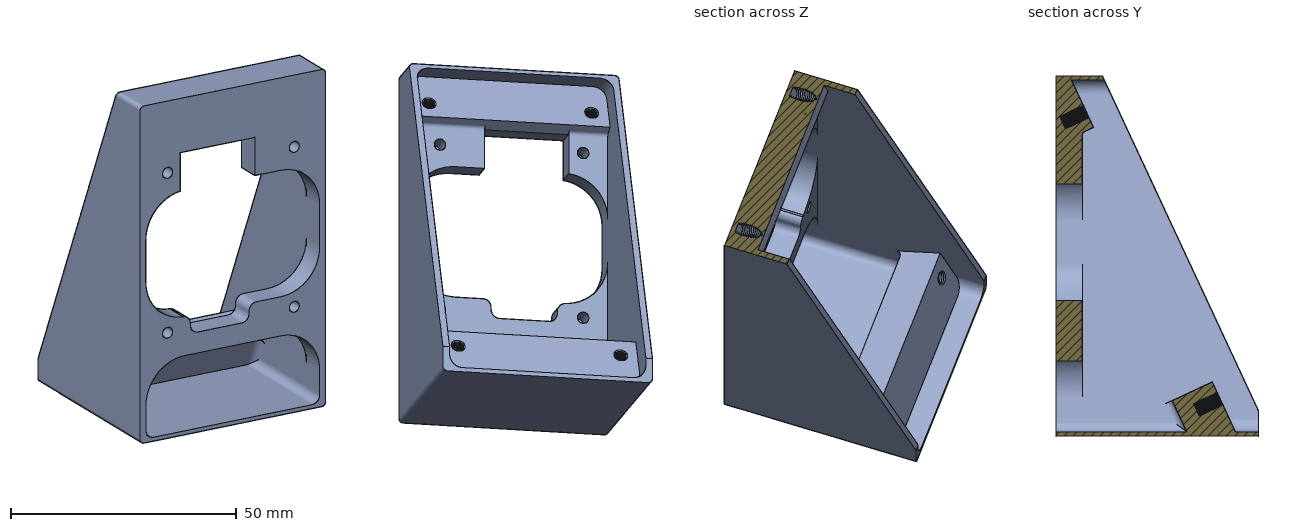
import cadquery as cq
import math

length = 45.0
width = 47.6
height = 79.9
lip_height = 5.6
lean = math.radians(25)
outer_fillet = 1.0

side_wall = 1.5
floor_wall = 0.95
front_corner = 2.95
rear_corner = 2.0
inner_width = width - 2 * side_wall
ceiling = height - floor_wall

bar_foot_x = 5.1
bar_thickness = 9.8
lower_bar_top = 12.1
upper_bar_bottom = 68.5
under_bar_fillet = 0.95
bar_back_fillet = 1.6
bar_hole_diameter = 3.1
thread_crest_diameter = 2.5
thread_pitch = 0.5
thread_turns = 12
bar_hole_spacing = 36.9
bar_hole_heights = (8.3, 72.0)

plate_thickness = 5.9
plate_x = length - plate_thickness
window_bottom = 28.05
window_top = 58.0
window_corner = 10.0
lower_window_top = 18.8
top_notch_width = 19.1
top_notch_y = -3.9
top_notch_top = 67.0
bottom_notch_width = 15.0
bottom_notch_y = -3.35
bottom_notch_bottom = 23.7
notch_fillet = 1.9
plate_hole_diameter = 2.55
plate_hole_y = -0.5
plate_hole_spacing_y = 32.5
plate_hole_spacing_z = 37.9
plate_hole_z = 43.95


def lean_offset(rise):
    """X shift along the leaning direction over a vertical rise."""
    return rise * math.tan(lean)


def bar_face_x(z):
    """X of the bars' front plane at height z."""
    return bar_foot_x + lean_offset(z - floor_wall)


def side_profile(points):
    """Prism across the inner width from an outline in the XZ plane."""
    return cq.Workplane("XZ").polyline(points).close().extrude(inner_width / 2, both=True)


def x_block(start, end, y_center, y_size, z_low, z_high):
    """Box given by its X range, its Y centre and size, and its Z range."""
    box = cq.Workplane("XY").box(end - start, y_size, z_high - z_low, centered=(False, True, False))
    return box.translate((start, y_center, z_low))


def inner_prism(corner):
    """Full-length core of the shell with rounded edges along X."""
    core = x_block(0, length, 0, inner_width, floor_wall, ceiling)
    return core.edges("|X").fillet(corner)


def wedge():
    block = x_block(0, length, 0, width, 0, height).edges("|X").fillet(outer_fillet)
    top_x = lean_offset(height - lip_height)
    cutter = (
        cq.Workplane("XZ")
        .polyline([(0, lip_height), (top_x, height), (0, height)])
        .close()
        .extrude(width, both=True)
    )
    return block.cut(cutter)


def front_pocket():
    """Space between the open face and the bars."""
    outline = [
        (0, floor_wall),
        (bar_foot_x, floor_wall),
        (bar_face_x(ceiling), ceiling),
        (0, ceiling),
    ]
    return inner_prism(front_corner).intersect(side_profile(outline))


def rear_cavity():
    """Space between the two bars, reaching back to the rear plate."""
    bar_top_x = bar_face_x(lower_bar_top)
    bar_back_x = bar_top_x + bar_thickness * math.cos(lean)
    bar_back_z = lower_bar_top - bar_thickness * math.sin(lean)
    bar_heel_x = bar_back_x - lean_offset(bar_back_z - floor_wall)
    upper_x = bar_face_x(upper_bar_bottom)
    plate_top = upper_bar_bottom - (plate_x - upper_x) * math.tan(lean)
    outline = [
        (bar_top_x, lower_bar_top),
        (bar_back_x, bar_back_z),
        (bar_heel_x, floor_wall),
        (plate_x, floor_wall),
        (plate_x, plate_top),
        (upper_x, upper_bar_bottom),
    ]
    bar_back = cq.selectors.BoxSelector(
        (bar_heel_x, -width, floor_wall), (bar_back_x, width, bar_back_z)
    )
    under_bar = cq.selectors.NearestToPointSelector((plate_x, 0, plate_top))
    cavity = side_profile(outline)
    cavity = cavity.edges(under_bar).fillet(under_bar_fillet)
    cavity = cavity.edges(bar_back).edges("not |Y").fillet(bar_back_fillet)
    return inner_prism(rear_corner).intersect(cavity)


def main_window():
    window = x_block(plate_x, length, 0, inner_width, window_bottom, window_top)
    return window.edges("|X").fillet(window_corner)


def top_notch():
    """Slot above the main window, running up to the underside of the upper bar."""
    upper_x = bar_face_x(upper_bar_bottom)
    under_bar_end_x = upper_x + (upper_bar_bottom - top_notch_top) / math.tan(lean)
    window_middle = (window_bottom + window_top) / 2
    outline = [
        (upper_x, upper_bar_bottom),
        (under_bar_end_x, top_notch_top),
        (length, top_notch_top),
        (length, window_middle),
        (upper_x, window_middle),
    ]
    span = x_block(upper_x, length, top_notch_y, top_notch_width, window_middle, upper_bar_bottom)
    return side_profile(outline).intersect(span)


def bottom_notch():
    """Shallow notch below the main window with flared, rounded shoulders."""
    half = bottom_notch_width / 2
    r = notch_fillet
    diagonal = r * math.sqrt(0.5)
    outline = (
        cq.Workplane("YZ")
        .moveTo(-half - r, window_bottom)
        .threePointArc((-half - r + diagonal, window_bottom - r + diagonal), (-half, window_bottom - r))
        .lineTo(-half, bottom_notch_bottom + r)
        .threePointArc(
            (-half + r - diagonal, bottom_notch_bottom + r - diagonal), (-half + r, bottom_notch_bottom)
        )
        .lineTo(half - r, bottom_notch_bottom)
        .threePointArc(
            (half - r + diagonal, bottom_notch_bottom + r - diagonal), (half, bottom_notch_bottom + r)
        )
        .lineTo(half, window_bottom - r)
        .threePointArc((half + r - diagonal, window_bottom - r + diagonal), (half + r, window_bottom))
        .close()
    )
    return outline.extrude(plate_thickness).translate((plate_x, bottom_notch_y, 0))


def lower_window():
    """Opening down to the floor, following the rounded floor corners."""
    window = x_block(plate_x, length, 0, inner_width, floor_wall, lower_window_top)
    window = window.edges("|X and >Z").fillet(window_corner)
    return window.intersect(inner_prism(rear_corner))


def plate_holes():
    return (
        cq.Workplane("YZ", origin=(plate_x, plate_hole_y, plate_hole_z))
        .rarray(plate_hole_spacing_y, plate_hole_spacing_z, 2, 2)
        .circle(plate_hole_diameter / 2)
        .extrude(plate_thickness)
    )


def bar_hole(y, z):
    """Blind threaded hole square to the bars' front plane, its thread drawn as stacked V grooves."""
    crest = thread_crest_diameter / 2
    root = bar_hole_diameter / 2
    outline = cq.Workplane("XY").moveTo(0, 0).lineTo(root, 0)
    for turn in range(thread_turns):
        groove_start = turn * thread_pitch
        outline = outline.lineTo(crest, groove_start + thread_pitch / 2)
        outline = outline.lineTo(root, groove_start + thread_pitch)
    outline = outline.lineTo(0, thread_turns * thread_pitch).close()
    hole = outline.revolve(360, (0, 0, 0), (0, 1, 0))
    hole = hole.rotate((0, 0, 0), (0, 0, 1), -90)
    hole = hole.rotate((0, 0, 0), (0, 1, 0), math.degrees(lean))
    return hole.translate((bar_face_x(z), y, z))


result = wedge().cut(front_pocket()).cut(rear_cavity())
result = result.cut(main_window()).cut(top_notch()).cut(bottom_notch())
result = result.cut(lower_window()).cut(plate_holes())
for hole_z in bar_hole_heights:
    for side in (-1, 1):
        result = result.cut(bar_hole(side * bar_hole_spacing / 2, hole_z))